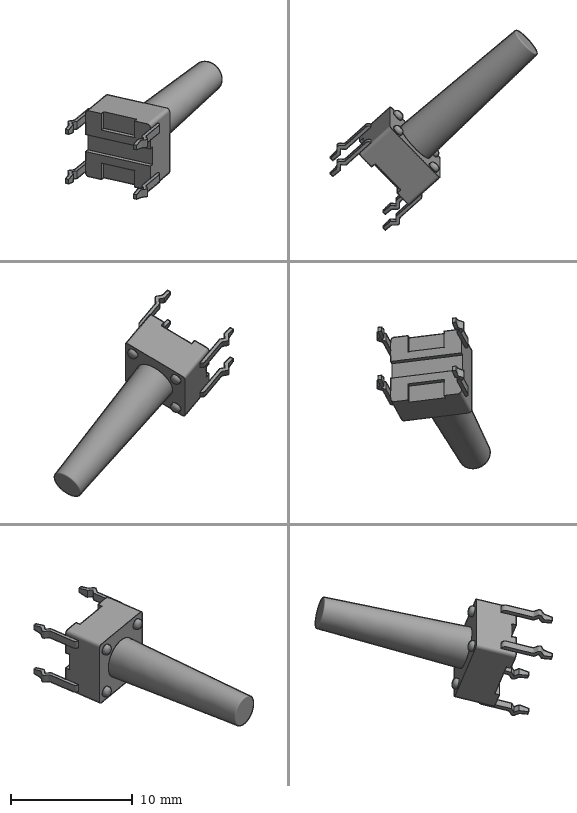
import cadquery as cq
import math


body_width = 6.0
body_depth = 3.44
corner_radius = 0.3
recess_depth = 0.4
slot_height = 1.55
pocket_width = 3.05
pocket_height = 1.5

stem_length = 12.55
stem_base_diameter = 3.52
stem_tip_diameter = 2.66
stem_tip_fillet = 0.1

rivet_pitch = 4.31
rivet_height = 0.42
rivet_radius = 0.45
rivet_fillet = 0.3

pin_pitch = 4.5
pin_width = 0.7
pin_tip_width = 0.4
pin_thickness = 0.3
pin_length = 3.0
pin_root_depth = 1.33
pin_root_radius = 0.36
pin_taper_length = 0.7
kink_distance = 1.82
kink_reach = 0.36
kink_apex_radius = 0.2
kink_bend_radius = 0.28

half_body = body_width / 2


def make_body():
    """Housing block with a slot across its mounting face and a pocket at each Z edge."""
    body = cq.Workplane("XY").box(body_width, body_depth, body_width, centered=(True, False, True))
    body = body.edges("|Y").fillet(corner_radius)
    slot = cq.Workplane("XY").box(body_width, 2 * recess_depth, slot_height)
    body = body.cut(slot)
    for side in (-1, 1):
        pocket = cq.Workplane("XY").box(pocket_width, 2 * recess_depth, pocket_height)
        body = body.cut(pocket.translate((0, 0, side * (half_body - pocket_height / 2))))
    return body


def make_stem():
    """Tapered round actuator, revolved about Y, with a rounded tip edge."""
    stem_end = body_depth + stem_length
    stem = (
        cq.Workplane("XY")
        .moveTo(0, body_depth)
        .lineTo(-stem_base_diameter / 2, body_depth)
        .lineTo(-stem_tip_diameter / 2, stem_end)
        .lineTo(0, stem_end)
        .close()
        .revolve(360, (0, 0, 0), (0, 1, 0))
    )
    return stem.faces(">Y").edges().fillet(stem_tip_fillet)


def make_rivet():
    """Round rivet head with a domed edge, standing on the actuator face."""
    rivet = (
        cq.Workplane("XZ", origin=(0, body_depth, 0))
        .circle(rivet_radius)
        .extrude(-rivet_height)
    )
    return rivet.faces(">Y").edges().fillet(rivet_fillet)


def make_pin():
    """Bent strip pin on the +X side, centred on Z = 0, with a snap-in kink and tapered tip."""
    inner_x = half_body
    outer_x = half_body + pin_thickness
    root_x = outer_x - pin_root_radius
    bend_y = pin_root_depth - pin_root_radius

    apex_trim = kink_apex_radius * (math.sqrt(2) - 1)
    outer_rise = kink_reach + apex_trim
    outer_apex_x = outer_x + outer_rise
    inner_apex_x = outer_apex_x - pin_thickness * math.sqrt(2)
    inner_rise = inner_apex_x - inner_x

    pin = (
        cq.Workplane("XY")
        .moveTo(root_x, pin_root_depth)
        .radiusArc((outer_x, bend_y), pin_root_radius)
        .lineTo(outer_x, outer_rise - kink_distance)
        .lineTo(outer_apex_x, -kink_distance)
        .lineTo(outer_x, -kink_distance - outer_rise)
        .lineTo(outer_x, -pin_length)
        .lineTo(inner_x, -pin_length)
        .lineTo(inner_x, -kink_distance - inner_rise)
        .lineTo(inner_apex_x, -kink_distance)
        .lineTo(inner_x, inner_rise - kink_distance)
        .lineTo(inner_x, bend_y)
        .lineTo(root_x, bend_y)
        .close()
        .extrude(pin_width / 2, both=True)
    )

    for x, y, radius in (
        (outer_apex_x, -kink_distance, kink_apex_radius),
        (outer_x, outer_rise - kink_distance, kink_bend_radius),
        (outer_x, -outer_rise - kink_distance, kink_bend_radius),
    ):
        pin = pin.edges("|Z").edges(cq.NearestToPointSelector((x, y, 0))).fillet(radius)

    taper_start = pin_taper_length - pin_length
    outline = (
        cq.Workplane("YZ")
        .moveTo(pin_root_depth, pin_width / 2)
        .lineTo(taper_start, pin_width / 2)
        .lineTo(-pin_length, pin_tip_width / 2)
        .lineTo(-pin_length, -pin_tip_width / 2)
        .lineTo(taper_start, -pin_width / 2)
        .lineTo(pin_root_depth, -pin_width / 2)
        .close()
        .extrude(body_width)
    )
    return pin.intersect(outline)


result = make_body().union(make_stem())

rivet = make_rivet()
right_pin = make_pin()
left_pin = right_pin.mirror("YZ")
for level in (-1, 1):
    for side in (-1, 1):
        rivet_place = (side * rivet_pitch / 2, 0, level * rivet_pitch / 2)
        result = result.union(rivet.translate(rivet_place))
    for pin in (left_pin, right_pin):
        result = result.union(pin.translate((0, 0, level * pin_pitch / 2)))